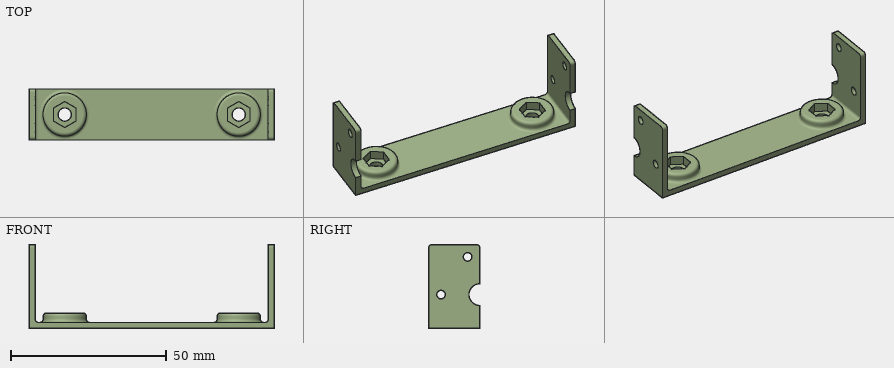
import cadquery as cq
import math

length = 79
width = 16.5
height = 27.0
thickness = 2.0
edge_radius = 1.0

boss_diameter = 14.0
boss_height = 3.0
boss_from_end = 11.45
bolt_diameter = 4.2
hex_across_flats = 7.3
hex_depth = 3.0

screw_diameter = 2.7
upper_screw_inset = 3.95
lower_screw_y = -4.3
lower_screw_z = 10.9
notch_radius = 3.5

boss_top = thickness + boss_height
boss_x = length / 2 - boss_from_end
hex_across_corners = hex_across_flats / math.cos(math.pi / 6)


def make_channel():
    """U-shaped strip with rounded inner bends and rounded wall corners."""
    channel = cq.Workplane("XY").box(length, width, height, centered=(True, True, False))
    opening = (
        cq.Workplane("XY", origin=(0, 0, thickness))
        .box(length - 2 * thickness, width, height, centered=(True, True, False))
        .edges("|Y and <Z")
        .fillet(edge_radius)
    )
    return channel.cut(opening).edges("|X and >Z").fillet(edge_radius)


def make_boss(x):
    """Round boss with a rounded rim and a concave flare where it meets the floor."""
    radius = boss_diameter / 2
    rim_radius = radius - edge_radius
    foot_radius = radius + edge_radius
    arc_inset = edge_radius * (1 - math.sqrt(0.5))
    profile = (
        cq.Workplane("XZ")
        .lineTo(foot_radius, 0)
        .lineTo(foot_radius, thickness)
        .threePointArc((radius + arc_inset, thickness + arc_inset), (radius, thickness + edge_radius))
        .lineTo(radius, boss_top - edge_radius)
        .threePointArc((radius - arc_inset, boss_top - arc_inset), (rim_radius, boss_top))
        .lineTo(0, boss_top)
        .close()
    )
    return profile.revolve().translate((x, 0, 0))


def make_bolt_cut(x):
    """Through hole with a hexagonal nut pocket, flats facing along X."""
    hole = cq.Workplane("XY").center(x, 0).circle(bolt_diameter / 2).extrude(boss_top)
    pocket = (
        cq.Workplane("XY")
        .polygon(6, hex_across_corners)
        .extrude(hex_depth)
        .rotate((0, 0, 0), (0, 0, 1), 30)
        .translate((x, 0, boss_top - hex_depth))
    )
    return hole.union(pocket)


def make_wall_cut(y, z, radius):
    """Cylinder along X that passes through both end walls."""
    return cq.Workplane("YZ").center(y, z).circle(radius).extrude(length / 2, both=True)


result = make_channel()
for side in (-1, 1):
    result = result.union(make_boss(side * boss_x)).cut(make_bolt_cut(side * boss_x))

wall_openings = (
    (width / 2 - upper_screw_inset, height - upper_screw_inset, screw_diameter / 2),
    (lower_screw_y, lower_screw_z, screw_diameter / 2),
    (width / 2, lower_screw_z, notch_radius),
)
for y, z, radius in wall_openings:
    result = result.cut(make_wall_cut(y, z, radius))